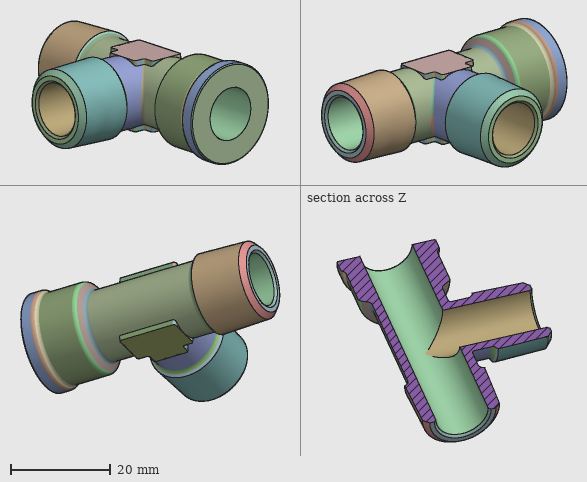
import cadquery as cq
import math

MALE_REACH = 24.5
FEMALE_REACH = 25.5
PIPE_RADIUS = 7.5
BORE_RADIUS = 5.5

TIP_RADIUS = 7.0
TIP_CHAMFER = 1.15
SPIGOT_LENGTH = 11.8
SPIGOT_RADIUS = 8.5
THREAD_TAPER = 1 / 16
MOUTH_CHAMFER = 0.5

SHOULDER_ANGLE = math.radians(60)
SHOULDER_ROUND = 1.0
NO_SLOPE = 5e-07

BODY_RADIUS = 9.75
COLLAR_RADIUS = 10.5
BODY_START = 11.5
COLLAR_STEP_START = 21.55
RIM_CHAMFER = 0.25

PAD_HALF_WIDTH = 6.4
PAD_HALF_DEPTH = 3.9
TAB_HALF_WIDTH = 3.9
TAB_REACH = 6.4
PAD_HEIGHT = PIPE_RADIUS
PAD_DRAFT = 5.0
PAD_CORNER_RADIUS = 0.5

CROTCH_ROUND = 0.5


def round_run(angle):
    """Axial length of a shoulder rounding that turns through the angle."""
    return SHOULDER_ROUND * math.sin(angle)


def round_rise(angle):
    """Radial height of a shoulder rounding that turns through the angle."""
    return SHOULDER_ROUND * (1 - math.cos(angle))


def rise_rounded(profile, x, radius, new_radius, angle):
    """Climb from one radius to a larger one: hollow rounding, straight slope, full rounding."""
    run, rise = round_run(angle), round_rise(angle)
    half_run, half_rise = round_run(angle / 2), round_rise(angle / 2)
    slope_rise = new_radius - radius - 2 * rise
    slope_end = x + run + slope_rise / math.tan(angle)
    profile = profile.threePointArc((x + half_run, radius + half_rise), (x + run, radius + rise))
    if slope_rise > NO_SLOPE:
        profile = profile.lineTo(slope_end, new_radius - rise)
    end = slope_end + run
    return profile.threePointArc((end - half_run, new_radius - half_rise), (end, new_radius))


def male_end():
    """Solid of revolution along -X, from the crossing to the male tip."""
    tip = -MALE_REACH
    shoulder = tip + SPIGOT_LENGTH
    chamfer_end = tip + TIP_CHAMFER
    chamfer_radius = SPIGOT_RADIUS - (shoulder - chamfer_end) * THREAD_TAPER / 2
    round_start_radius = PIPE_RADIUS + round_rise(SHOULDER_ANGLE)
    round_start = shoulder + (SPIGOT_RADIUS - round_start_radius) / math.tan(SHOULDER_ANGLE)
    round_end = round_start + round_run(SHOULDER_ANGLE)
    round_middle = (
        round_end - round_run(SHOULDER_ANGLE / 2),
        PIPE_RADIUS + round_rise(SHOULDER_ANGLE / 2),
    )
    return (
        cq.Workplane("XY")
        .moveTo(tip, 0)
        .lineTo(tip, TIP_RADIUS)
        .lineTo(chamfer_end, chamfer_radius)
        .lineTo(shoulder, SPIGOT_RADIUS)
        .lineTo(round_start, round_start_radius)
        .threePointArc(round_middle, (round_end, PIPE_RADIUS))
        .lineTo(0, PIPE_RADIUS)
        .lineTo(0, 0)
        .close()
        .revolve(360, (0, 0, 0), (1, 0, 0))
    )


def female_end():
    """Solid of revolution along +X, from the crossing to the collar."""
    collar_angle = math.acos(1 - (COLLAR_RADIUS - BODY_RADIUS) / (2 * SHOULDER_ROUND))
    profile = cq.Workplane("XY").lineTo(0, PIPE_RADIUS).lineTo(BODY_START, PIPE_RADIUS)
    profile = rise_rounded(profile, BODY_START, PIPE_RADIUS, BODY_RADIUS, SHOULDER_ANGLE)
    profile = profile.lineTo(COLLAR_STEP_START, BODY_RADIUS)
    profile = rise_rounded(profile, COLLAR_STEP_START, BODY_RADIUS, COLLAR_RADIUS, collar_angle)
    profile = profile.lineTo(FEMALE_REACH - RIM_CHAMFER, COLLAR_RADIUS)
    profile = profile.lineTo(FEMALE_REACH, COLLAR_RADIUS - RIM_CHAMFER).lineTo(FEMALE_REACH, 0).close()
    return profile.revolve(360, (0, 0, 0), (1, 0, 0))


def pad(draft):
    """T-shaped block from the run axis up to the upper flat, its walls flaring out downwards."""
    plate = cq.Sketch().rect(2 * PAD_HALF_WIDTH, 2 * PAD_HALF_DEPTH)
    tab = cq.Sketch().rect(2 * TAB_HALF_WIDTH, TAB_REACH)
    outline = plate.face(tab.moved(cq.Location((0, -TAB_REACH / 2, 0)))).clean()
    outline = outline.vertices().fillet(PAD_CORNER_RADIUS)
    return (
        cq.Workplane("XY", origin=(0, 0, PAD_HEIGHT))
        .placeSketch(outline)
        .extrude(-PAD_HEIGHT, taper=-draft)
    )


def bore():
    """Passage from the male tip, with a chamfered mouth, to the crossing along -X."""
    mouth_radius = BORE_RADIUS + MOUTH_CHAMFER
    return (
        cq.Workplane("XY")
        .moveTo(-MALE_REACH, 0)
        .lineTo(-MALE_REACH, mouth_radius)
        .lineTo(-MALE_REACH + MOUTH_CHAMFER, BORE_RADIUS)
        .lineTo(0, BORE_RADIUS)
        .lineTo(0, 0)
        .close()
        .revolve(360, (0, 0, 0), (1, 0, 0))
    )


def as_branch(shape):
    """Turn a shape lying along -X so that it lies along -Y."""
    return shape.rotate((0, 0, 0), (0, 0, 1), 90)


def add_pads(body, draft):
    """Join the upper and lower pads to the body."""
    upper = pad(draft)
    return body.union(upper).union(upper.mirror("XY"))


outside = male_end().union(female_end()).union(as_branch(male_end()))
outside = add_pads(outside, 0)
outside = outside.edges("%ELLIPSE").fillet(CROTCH_ROUND)
outside = add_pads(outside, PAD_DRAFT)

female_bore = cq.Workplane("YZ").circle(BORE_RADIUS).extrude(FEMALE_REACH)
result = outside.cut(bore()).cut(as_branch(bore())).cut(female_bore)